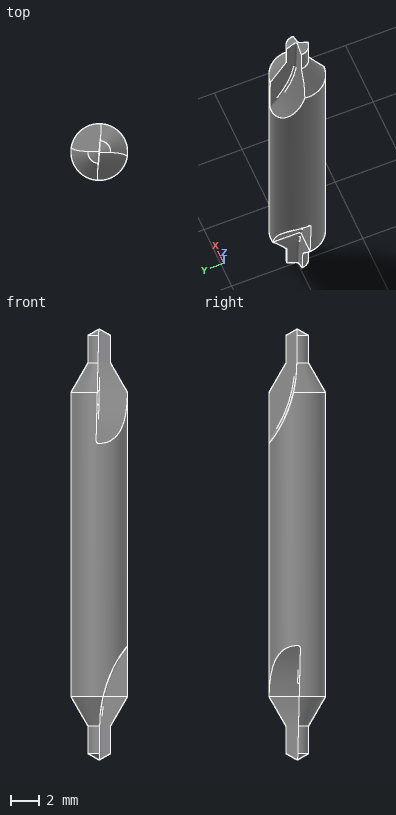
import cadquery as cq
import math

length = 30.3
shank_radius = 2.0
pilot_radius = 0.803
pilot_length = 2.4
point_half_angle = 60.0
countersink_half_angle = 30.0

flute_floor_offset = 0.03
flute_runout_radius = 9.1
flute_wall_offset = -0.03
flute_wall_tilt = 1.4
flute_corner_radius = 0.135
cut_margin = 0.6

half_length = length / 2
point_height = pilot_radius / math.tan(math.radians(point_half_angle))
countersink_height = (shank_radius - pilot_radius) / math.tan(math.radians(countersink_half_angle))
pilot_base_z = half_length - pilot_length
shoulder_z = pilot_base_z - countersink_height


def make_blank():
    """Round blank with a pilot and a countersink at both ends."""
    return (
        cq.Workplane("XZ")
        .moveTo(0, half_length)
        .lineTo(pilot_radius, half_length - point_height)
        .lineTo(pilot_radius, pilot_base_z)
        .lineTo(shank_radius, shoulder_z)
        .lineTo(shank_radius, -shoulder_z)
        .lineTo(pilot_radius, -pilot_base_z)
        .lineTo(pilot_radius, point_height - half_length)
        .lineTo(0, -half_length)
        .close()
        .revolve(360, (0, 0, 0), (0, 1, 0))
    )


def make_flute():
    """Cutter for one flute of the upper end, in the +X, -Y quadrant."""
    outer_y = -(shank_radius + cut_margin)
    top_z = half_length + cut_margin

    def runout_point(y):
        """Point (Y, Z) on the runout arc, which is tangent to the flat floor."""
        centre_offset = flute_runout_radius + y + flute_floor_offset
        return y, pilot_base_z - math.sqrt(flute_runout_radius**2 - centre_offset**2)

    middle_y = (outer_y - flute_floor_offset) / 2
    profile = (
        cq.Workplane("YZ")
        .moveTo(-flute_floor_offset, top_z)
        .lineTo(-flute_floor_offset, pilot_base_z)
        .threePointArc(runout_point(middle_y), runout_point(outer_y))
        .lineTo(outer_y, top_z)
        .close()
    )
    straight_cutter = profile.extrude(shank_radius + cut_margin)

    wall_face = straight_cutter.faces("<X")
    rounded_cutter = wall_face.edges("not(>Z or <Y)").fillet(flute_corner_radius)

    pivot_start = (0, 0, half_length)
    pivot_end = (0, 1, half_length)
    leaning_cutter = rounded_cutter.rotate(pivot_start, pivot_end, flute_wall_tilt)
    return leaning_cutter.translate((flute_wall_offset, 0, 0))


def cut_flutes(blank):
    """Cut two opposite flutes in each end; the lower pair is the upper pair turned over."""
    upper_flute = make_flute()
    lower_flute = upper_flute.rotate((0, 0, 0), (1, -1, 0), 180)
    for flute in (upper_flute, lower_flute):
        for angle in (0, 180):
            blank = blank.cut(flute.rotate((0, 0, 0), (0, 0, 1), angle))
    return blank


def make_lower_zone():
    """Space below the lower shoulder, where the two bodies meet."""
    width = 2 * (shank_radius + cut_margin)
    return (
        cq.Workplane("XY", origin=(0, 0, -shoulder_z))
        .rect(width, width)
        .extrude(-(half_length - shoulder_z + cut_margin))
    )


drill = cut_flutes(make_blank())
lower_zone = make_lower_zone()

shank = drill.cut(lower_zone)

lower_tip = drill.intersect(lower_zone)

result = cq.Compound.makeCompound([*shank.solids().vals(), *lower_tip.solids().vals()])